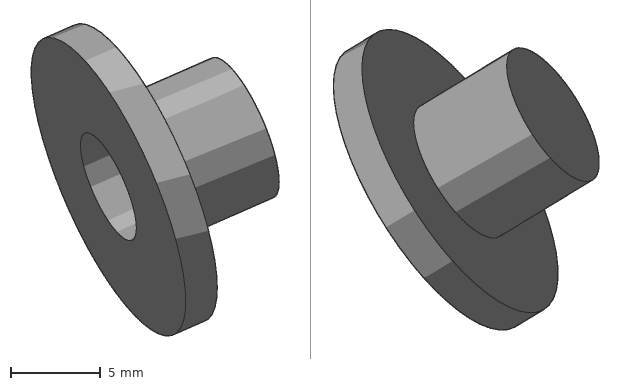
import cadquery as cq

flange_diameter = 18.0
flange_thickness = 2.0
boss_diameter = 8.5
overall_length = 8.5
bore_diameter = 6.5

wall_thickness = (boss_diameter - bore_diameter) / 2
bore_depth = overall_length - wall_thickness


def cylinder_along_y(diameter, length):
    """Cylinder on the Y axis, from Y = 0 toward +Y."""
    return cq.Workplane("XZ").circle(diameter / 2).extrude(-length)


flange = cylinder_along_y(flange_diameter, flange_thickness)
boss = cylinder_along_y(boss_diameter, overall_length)
bore = cylinder_along_y(bore_diameter, bore_depth)

result = flange.union(boss).cut(bore)